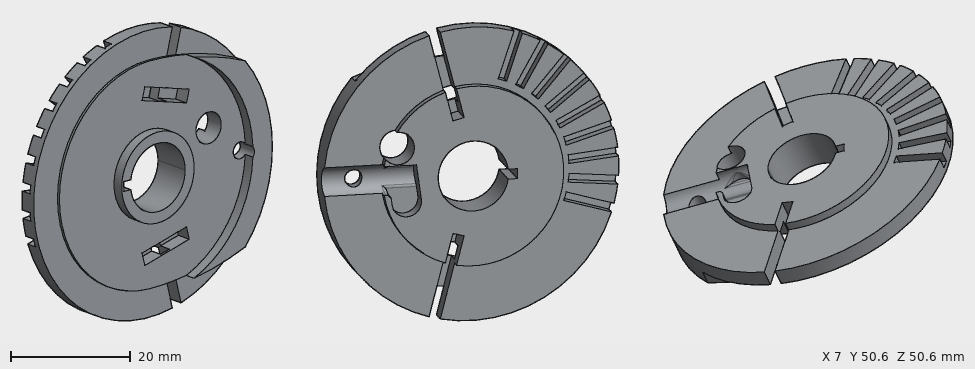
import cadquery as cq
import math

disc_radius = 25.3
disc_thickness = 3.0
hub_radius = 15.5
hub_thickness = 1.5
cam_thickness = 0.5
boss_radius = 8.0
boss_height = 2.0
cam_front = disc_thickness
cam_back = cam_front + cam_thickness
part_back = cam_back + boss_height

cam_radius = 20.05
cam_flank_radius = 52.7
crescent_inner_radius = 21.0

bore_radius = 6.05
keyway_width = 1.7
keyway_reach = 7.55

slot_width = 2.0
slot_inner_radius = 10.3
slot_lean = 14.4

cross_pocket_inner = 12.55
cross_pocket_outer = 14.95
cross_pocket_width = 10.15
cross_pocket_floor_x = 0.7

rim_groove_count = 9
rim_groove_pitch = 11.0
rim_groove_first = -16.5
rim_groove_width = 1.5
rim_groove_depth = 2.0
rim_groove_inner_radius = 16.75

channel_radius = 2.6
channel_axis_x = -hub_thickness / 2

pocket_radius = 2.55
pocket_floor_x = 1.2
pocket_lean = 7.9
pocket_length = 3.9
pocket_low_y = 11.45
pocket_low_z = -3.85
blend_radius = 0.8

pin_hole_radius = 1.45
pin_hole_y = 19.85
head_hole_radius = 2.8
head_hole_y = 12.9
head_hole_z = 5.45

right_angle = 90.0

overrun = 2.55


def cylinder(radius, x_start, x_end, y=0.0, z=0.0):
    """Cylinder along X between two X positions."""
    plane = cq.Workplane("YZ", origin=(x_start, y, z))
    return plane.circle(radius).extrude(x_end - x_start)


def radial_bar(angle, width, inner_radius, outer_radius, x_start, x_end):
    """Rectangular bar along a radius, at an angle measured from +Y towards +Z."""
    length = outer_radius - inner_radius
    bar = cq.Workplane("XY").box(x_end - x_start, length, width, centered=(False, False, True))
    return bar.translate((x_start, inner_radius, 0)).rotate((0, 0, 0), (1, 0, 0), angle)


def cam_lobe(x_start, x_end):
    """Block with the cam outline, running out past the disc rim on the +Y side."""
    flank_centre_z = cam_radius - cam_flank_radius
    end_y = disc_radius + overrun
    mid_y = end_y / 2
    end_z = flank_centre_z + math.sqrt(cam_flank_radius**2 - end_y**2)
    mid_z = flank_centre_z + math.sqrt(cam_flank_radius**2 - mid_y**2)
    return (
        cq.Workplane("YZ", origin=(x_start, 0, 0))
        .moveTo(0, cam_radius)
        .threePointArc((mid_y, mid_z), (end_y, end_z))
        .lineTo(end_y, -end_z)
        .threePointArc((mid_y, -mid_z), (0, -cam_radius))
        .threePointArc((-cam_radius, 0), (0, cam_radius))
        .close()
        .extrude(x_end - x_start)
    )


def is_channel_pocket_edge(edge):
    """Whether an edge runs along the channel surface where the pocket floor or wall meets it."""
    tolerance = 0.005
    centre = edge.Center()
    within_pocket = centre.x > channel_axis_x and pocket_low_y < centre.y < hub_radius
    on_channel = all(
        abs(math.hypot(point.x - channel_axis_x, point.z) - channel_radius) < tolerance
        for point in edge.positions([0.25, 0.5, 0.75])
    )
    return within_pocket and on_channel


def channel_and_pocket():
    """Cutter for the channel and the pocket at its inner end, with their meeting edges blended."""
    lean = math.radians(pocket_lean)
    cut_front = -hub_thickness - overrun

    pocket_mid_y = pocket_low_y + pocket_length / 2 * math.sin(lean)
    pocket_mid_z = pocket_low_z + pocket_length / 2 * math.cos(lean)
    pocket = (
        cq.Workplane("YZ", origin=(cut_front, pocket_mid_y, pocket_mid_z))
        .slot2D(pocket_length + 2 * pocket_radius, 2 * pocket_radius, right_angle - pocket_lean)
        .extrude(pocket_floor_x - cut_front)
    )

    channel_length = disc_radius + overrun
    channel_plane = cq.Plane(origin=(channel_axis_x, 0, 0), xDir=(-1, 0, 0), normal=(0, 1, 0))
    channel = cq.Workplane(channel_plane).circle(channel_radius).extrude(channel_length)
    beyond_wall = (
        cq.Workplane("XY")
        .box(2 * disc_radius, disc_radius, 2 * disc_radius)
        .translate((0, -pocket_radius - disc_radius / 2, 0))
        .rotate((0, 0, 0), (1, 0, 0), -pocket_lean)
        .translate((0, pocket_low_y, pocket_low_z))
    )
    cutter = channel.cut(beyond_wall).union(pocket)

    in_front = cylinder(2 * disc_radius, cut_front - channel_radius, -hub_thickness)
    cutter = cutter.cut(in_front)

    blended_edges = [edge for edge in cutter.edges().vals() if is_channel_pocket_edge(edge)]
    return cutter.newObject(blended_edges).fillet(blend_radius)


outside_cam = cylinder(disc_radius + overrun, cam_front, part_back + overrun)
outside_cam = outside_cam.cut(cam_lobe(cam_front, part_back + overrun))
result = cylinder(disc_radius, 0, part_back).cut(outside_cam)

ring = cylinder(crescent_inner_radius, cam_back, part_back)
result = result.cut(ring.cut(cylinder(boss_radius, cam_back, part_back)))

result = result.union(cylinder(hub_radius, -hub_thickness, 0))

result = result.cut(cylinder(bore_radius, -hub_thickness, part_back))
result = result.cut(radial_bar(2 * right_angle, keyway_width, 0, keyway_reach, -hub_thickness, part_back))

for angle in (right_angle - slot_lean, slot_lean - right_angle):
    result = result.cut(
        radial_bar(angle, slot_width, slot_inner_radius, disc_radius + overrun, -hub_thickness, cam_front)
    )
    result = result.cut(
        radial_bar(
            angle, cross_pocket_width, cross_pocket_inner, cross_pocket_outer, cross_pocket_floor_x, cam_back
        )
    )

for index in range(rim_groove_count):
    angle = 2 * right_angle - rim_groove_first - index * rim_groove_pitch
    result = result.cut(
        radial_bar(
            angle, rim_groove_width, rim_groove_inner_radius, disc_radius + overrun, 0, rim_groove_depth
        )
    )

result = result.cut(channel_and_pocket())
result = result.cut(cylinder(pin_hole_radius, -hub_thickness, part_back, pin_hole_y))
result = result.cut(cylinder(head_hole_radius, -hub_thickness, part_back, head_hole_y, head_hole_z))